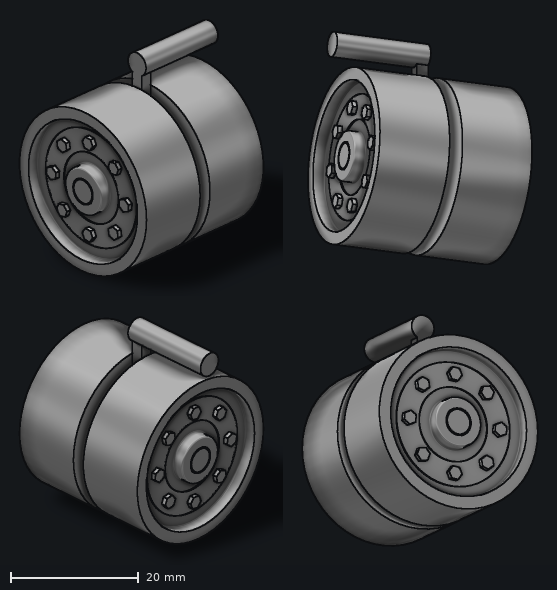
import cadquery as cq
import math


arm_thickness = 2.0
arm_width = 2.0
arm_eye_diameter = 10.0
stem_diameter = 4.0
stem_length = 16.0
stem_height = 18.0
arm_front = -arm_thickness / 2

wheel_diameter = 28.0
wheel_width = 11.9
side_clearance = 0.1
wheel_inner_face = arm_thickness / 2 + side_clearance
wheel_outer_face = wheel_inner_face + wheel_width

axle_diameter = 4.0
axle_clearance = 0.2
wheel_bore_diameter = axle_diameter + 2 * axle_clearance
axle_length = 2 * wheel_outer_face

dish_diameter = 24.0
dish_depth = 2.0
dish_floor = wheel_outer_face - dish_depth
ring_outer_diameter = 20.0
ring_inner_diameter = 12.0
ring_height = 0.2
hub_diameter = 8.0
edge_fillet = 0.3
radius_tolerance = 0.01

bolt_count = 8
bolt_circle_diameter = 16.0
bolt_sides = 6
bolt_across_flats = 2.0
bolt_across_corners = bolt_across_flats / math.cos(math.pi / bolt_sides)
bolt_head_height = 0.8
bolt_twist = 24.0

AXIS_START = (0, 0, 0)
Y_AXIS = (0, 1, 0)
Z_AXIS = (0, 0, 1)


def plane_facing_y(start, height=0.0):
    """Sketch plane at Y = start whose normal points along +Y."""
    return cq.Plane(origin=(0, start, height), xDir=(-1, 0, 0), normal=Y_AXIS)


def rod(diameter, start, length, height=0.0):
    """Round bar along +Y, starting at Y = start."""
    return cq.Workplane(plane_facing_y(start, height)).circle(diameter / 2).extrude(length)


def dish():
    """Space removed from the outer side of a wheel, with a rounded corner at its floor."""
    return rod(dish_diameter, dish_floor, dish_depth).faces("<Y").edges().fillet(edge_fillet)


def add_hub(wheel):
    """Hub on the dish floor, rounded at its root and at its outer edge."""
    with_hub = wheel.union(rod(hub_diameter, dish_floor, dish_depth))
    hub_edges = with_hub.edges("%CIRCLE").filter(
        lambda edge: abs(edge.radius() - hub_diameter / 2) < radius_tolerance
    )
    return hub_edges.fillet(edge_fillet)


def raised_ring():
    ring = rod(ring_outer_diameter, dish_floor, ring_height)
    return ring.cut(rod(ring_inner_diameter, dish_floor, ring_height))


def bolt_heads():
    """Hexagonal heads in a circle, each turned along with its place on the circle."""
    head = (
        cq.Workplane(plane_facing_y(dish_floor + ring_height))
        .polygon(bolt_sides, bolt_across_corners)
        .extrude(bolt_head_height)
        .rotate(AXIS_START, Y_AXIS, bolt_twist)
        .translate((-bolt_circle_diameter / 2, 0, 0))
    )
    return [head.rotate(AXIS_START, Y_AXIS, i * 360 / bolt_count) for i in range(bolt_count)]


def build_wheel():
    """Wheel on the +Y side of the arm."""
    wheel = rod(wheel_diameter, wheel_inner_face, wheel_width).cut(dish())
    wheel = add_hub(wheel).union(raised_ring())
    for head in bolt_heads():
        wheel = wheel.union(head)
    return wheel.cut(rod(wheel_bore_diameter, wheel_inner_face, wheel_width))


def build_arm():
    """Eye around the axle, flat web rising from it, and a stem running back along +Y."""
    eye = rod(arm_eye_diameter, arm_front, arm_thickness)
    web = cq.Workplane("XY").box(arm_width, arm_thickness, stem_height, centered=(True, True, False))
    stem = rod(stem_diameter, arm_front, stem_length, stem_height)
    return eye.union(web).union(stem).cut(rod(axle_diameter, arm_front, arm_thickness))


def build_axle():
    return rod(axle_diameter, -axle_length / 2, axle_length)


arm = build_arm().solids()
axle = build_axle()
wheels = [build_wheel().solids().rotate(AXIS_START, Z_AXIS, turn) for turn in (0, 180)]

result = cq.Compound.makeCompound([arm.val(), axle.val(), *[wheel.val() for wheel in wheels]])